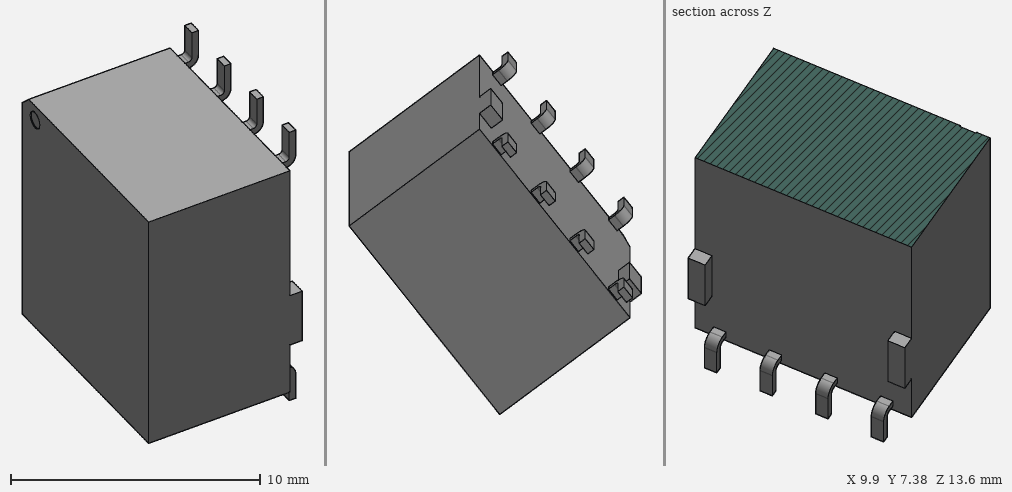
import cadquery as cq
import math

body_width = 9.9
body_height = 11.2
total_depth = 7.38
lead_standoff = 0.78
body_depth = total_depth - lead_standoff
corner_chamfer = 0.5

lead_span = 13.57
lead_width = 0.57
lead_thickness = 0.31
lead_bend_radius = 0.16
lead_inset = 0.23
lead_pitch = 2.54
leads_per_row = 4
lead_root = 0.2

tab_width = 0.78
tab_height = 2.5
tab_thickness = 0.57
tab_center_z = -1.97

mark_diameter = 0.75
mark_depth = 0.05
mark_side_inset = 1.0
mark_top_inset = 0.73


def make_body():
    block = cq.Workplane("XY").box(
        body_width, body_depth, body_height, centered=(True, False, True)
    )
    block = block.translate((0, -body_depth, 0))
    return block.edges("<X and >Z").chamfer(corner_chamfer)


def make_tab(side):
    center_x = side * (body_width - tab_width) / 2
    tab = cq.Workplane("XY").box(tab_width, tab_thickness, tab_height)
    return tab.translate((center_x, tab_thickness / 2, tab_center_z))


def make_lead(center_x):
    """Upper lead: leaves the mounting face, then bends up into its foot."""
    foot_outer = lead_standoff
    foot_inner = foot_outer - lead_thickness
    arm_top = body_height / 2 - lead_inset
    arm_bottom = arm_top - lead_thickness
    outer_radius = lead_bend_radius + lead_thickness
    tip = lead_span / 2
    bend_y = foot_inner - lead_bend_radius
    bend_z = arm_top + lead_bend_radius
    diagonal = math.sqrt(0.5)
    outer_mid = (bend_y + outer_radius * diagonal, bend_z - outer_radius * diagonal)
    inner_mid = (bend_y + lead_bend_radius * diagonal, bend_z - lead_bend_radius * diagonal)
    profile = (
        cq.Workplane("YZ")
        .moveTo(-lead_root, arm_bottom)
        .lineTo(bend_y, arm_bottom)
        .threePointArc(outer_mid, (foot_outer, bend_z))
        .lineTo(foot_outer, tip)
        .lineTo(foot_inner, tip)
        .lineTo(foot_inner, bend_z)
        .threePointArc(inner_mid, (bend_y, arm_top))
        .lineTo(-lead_root, arm_top)
        .close()
    )
    lead = profile.extrude(lead_width / 2, both=True)
    return lead.translate((center_x, 0, 0))


def make_mark():
    center_x = -body_width / 2 + mark_side_inset
    center_z = body_height / 2 - mark_top_inset
    return (
        cq.Workplane("XZ", origin=(0, -body_depth, 0))
        .center(center_x, center_z)
        .circle(mark_diameter / 2)
        .extrude(-mark_depth)
    )


result = make_body().cut(make_mark())
for side in (-1, 1):
    result = result.union(make_tab(side))
for index in range(leads_per_row):
    lead_x = (index - (leads_per_row - 1) / 2) * lead_pitch
    upper_lead = make_lead(lead_x)
    result = result.union(upper_lead).union(upper_lead.mirror("XY"))